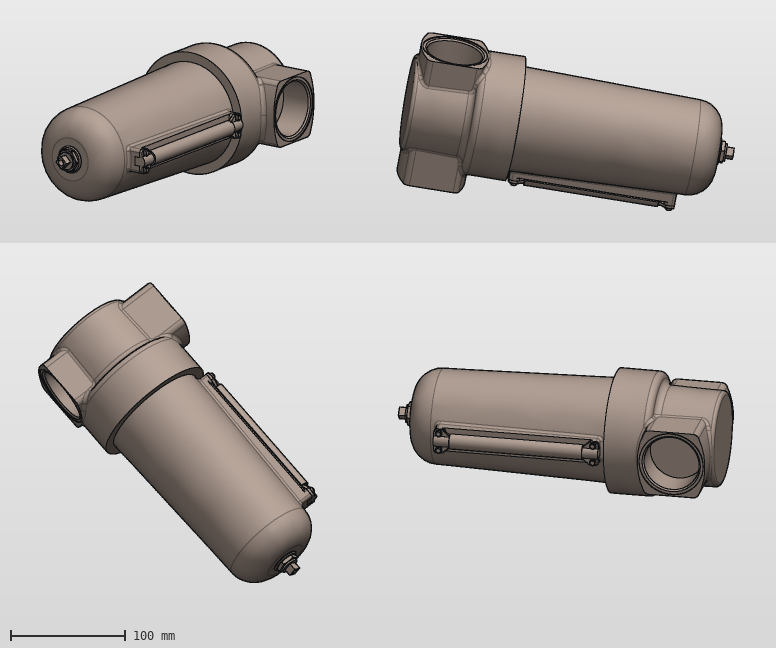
import cadquery as cq
import math


WIDTH_X = 120.8
COLLAR_DIAMETER = 109.8
COLLAR_RADIUS = COLLAR_DIAMETER / 2
COLLAR_SHOULDER_RADIUS = 54.8
COLLAR_HEIGHT = 34.3
NECK_RADIUS = 43.2
NECK_TOP_RADIUS = 42.0
NECK_EDGE_FILLET = 3.5
HEAD_HEIGHT = 95.0
SHOULDER_BLEND = 6.0

PORT_SIZE_Y = 60.3
PORT_SIZE_Z = 60.0
PORT_CORNER_HALF_Y = 23.0
PORT_CORNER_FILLET = 5.8
PORT_Y = 62.5
INLET_X = -COLLAR_RADIUS
OUTLET_X = WIDTH_X - COLLAR_RADIUS
PORT_BLEND = 3.5
PORT_SEAM_MIN_X = 14.5
BORE_RADIUS = 24.5
BORE_DEPTH = 28.8
BORE_CHAMFER = 1.5
RECESS_RADIUS = 28.5
RECESS_DEPTH = 1.0

BOWL_TOP_DIAMETER = 92.5
BOWL_LOW_RADIUS = 42.0
BOWL_FLOOR_RADIUS = 19.3
DOME_RADIUS = BOWL_LOW_RADIUS - BOWL_FLOOR_RADIUS
BOWL_STRAIGHT = 156.8
BOWL_LENGTH = BOWL_STRAIGHT + DOME_RADIUS

BRACKET_Y = -77.5
BRACKET_LENGTH = 146.5
BRACKET_WIDTH = 21.5
BRACKET_INNER_X = 28.8
BRACKET_ROOT_MIN_X = 40.5
BRACKET_ROOT_MAX_X = 47.5
BRACKET_LOW_X = 51.0
BRACKET_TOP_X = 54.0
BRACKET_LUG = 9.2
BRACKET_ROUND = 2.5
SLOT_FLOOR_X = 48.7
SLOT_WIDTH = 7.8

PLATE_THICKNESS = 2.5
PLATE_LUG = 7.8
PLATE_TAPER_END = 13.8
RIB_RADIUS = 5.5
LENS_RADIUS = 7.0
LENS_LENGTH = 118.2

SCREW_RADIUS = 3.0
SCREW_HEIGHT = 2.5
SCREW_CHAMFER = 1.0
SCREW_FROM_END = 4.5
SCREW_Z = 7.8

DRAIN_LENGTH = 13.5
FLANGE_RADIUS = 12.0
FLANGE_HEIGHT = 1.7
FLANGE_CHAMFER = 1.2
HEX_ACROSS_FLATS = 18.2
HEX_HEIGHT = 3.5
HEX_CHAMFER_RADIUS = 9.5
HEX_CHAMFER_ANGLE = 30
COLLET_RADIUS = 7.8
COLLET_HEIGHT = 1.7
STEM_DIAGONAL = 11.2
STEM_BORE_RADIUS = 2.5
STEM_BORE_DEPTH = 5.8


def cylinder_y(radius, y_start, length):
    """Cylinder on the part's axis, running from y_start toward -Y."""
    return cq.Workplane("XZ", origin=(0, y_start, 0)).circle(radius).extrude(length)


def spun(profile):
    """Turn a closed profile, drawn from the axis outward, about the Y axis."""
    return profile.close().revolve(360, (0, 0, 0), (0, 1, 0))


def bar_x(y_size, z_size, x_start, x_end):
    """Rectangular bar along X, centred on the bracket."""
    plane = cq.Workplane("YZ", origin=(x_start, BRACKET_Y, 0))
    return plane.rect(y_size, z_size).extrude(x_end - x_start)


def make_head_core():
    """Collar and neck, joined by an S-shaped shoulder."""
    half_step = (COLLAR_SHOULDER_RADIUS - NECK_RADIUS) / 2
    sweep = math.acos(1 - half_step / SHOULDER_BLEND)
    half_rise = SHOULDER_BLEND * math.sin(sweep)
    arc_step = SHOULDER_BLEND * (1 - math.cos(sweep / 2))
    arc_rise = SHOULDER_BLEND * math.sin(sweep / 2)
    mid_radius = NECK_RADIUS + half_step
    mid_y = COLLAR_HEIGHT + half_rise
    neck_start_y = mid_y + half_rise
    outer_arc_point = (COLLAR_SHOULDER_RADIUS - arc_step, COLLAR_HEIGHT + arc_rise)
    inner_arc_point = (NECK_RADIUS + arc_step, neck_start_y - arc_rise)
    profile = (
        cq.Workplane("XY")
        .lineTo(COLLAR_RADIUS, 0)
        .lineTo(COLLAR_SHOULDER_RADIUS, COLLAR_HEIGHT)
        .threePointArc(outer_arc_point, (mid_radius, mid_y))
        .threePointArc(inner_arc_point, (NECK_RADIUS, neck_start_y))
        .lineTo(NECK_TOP_RADIUS, HEAD_HEIGHT)
        .lineTo(0, HEAD_HEIGHT)
    )
    return spun(profile).faces(">Y").edges().fillet(NECK_EDGE_FILLET)


def make_port_block():
    """Block through the head with flat top and bottom and bowed sides."""
    y, z = PORT_CORNER_HALF_Y, PORT_SIZE_Z / 2
    bow_y = PORT_SIZE_Y / 2
    return (
        cq.Workplane("YZ", origin=(INLET_X, PORT_Y, 0))
        .moveTo(-y, z)
        .lineTo(y, z)
        .threePointArc((bow_y, 0), (y, -z))
        .lineTo(-y, -z)
        .threePointArc((-bow_y, 0), (-y, z))
        .close()
        .extrude(WIDTH_X)
        .edges("|X")
        .fillet(PORT_CORNER_FILLET)
    )


def make_port_bore(face_x, inward):
    """Blind bore with a shallow recess and a chamfer; inward is +1 or -1 along X."""
    chamfer_end = RECESS_DEPTH + BORE_CHAMFER
    profile = (
        cq.Workplane("XY", origin=(face_x, PORT_Y, 0))
        .lineTo(0, RECESS_RADIUS)
        .lineTo(inward * RECESS_DEPTH, RECESS_RADIUS)
        .lineTo(inward * RECESS_DEPTH, BORE_RADIUS + BORE_CHAMFER)
        .lineTo(inward * chamfer_end, BORE_RADIUS)
        .lineTo(inward * BORE_DEPTH, BORE_RADIUS)
        .lineTo(inward * BORE_DEPTH, 0)
        .close()
    )
    return profile.revolve(360, (0, 0, 0), (1, 0, 0))


def is_port_seam(edge):
    """True for the free-form curves where the port block runs into the collar and neck."""
    beside_core = PORT_SEAM_MIN_X < abs(edge.Center().x) < COLLAR_SHOULDER_RADIUS
    return beside_core and edge.geomType() not in ("LINE", "CIRCLE")


def make_head():
    core = make_head_core()
    block = make_port_block()
    seams = core.union(block).edges().filter(is_port_seam)
    head = seams.fillet(PORT_BLEND)
    for face_x, inward in ((INLET_X, 1), (OUTLET_X, -1)):
        head = head.cut(make_port_bore(face_x, inward))
    return head


def make_bowl_shell():
    """Tapered bowl with a domed end and a flat floor."""
    diagonal = DOME_RADIUS * math.sqrt(0.5)
    profile = (
        cq.Workplane("ZY")
        .lineTo(BOWL_TOP_DIAMETER / 2, 0)
        .lineTo(BOWL_LOW_RADIUS, -BOWL_STRAIGHT)
        .threePointArc(
            (BOWL_FLOOR_RADIUS + diagonal, -BOWL_STRAIGHT - diagonal),
            (BOWL_FLOOR_RADIUS, -BOWL_LENGTH),
        )
        .lineTo(0, -BOWL_LENGTH)
    )
    return spun(profile)


def make_bracket():
    """Base block plus a raised, rounded lug at each end."""
    base = bar_x(BRACKET_LENGTH, BRACKET_WIDTH, BRACKET_INNER_X, BRACKET_LOW_X)
    bracket = base.edges("|X").fillet(BRACKET_ROUND)
    lug_offset = (BRACKET_LENGTH - BRACKET_LUG) / 2
    for side in (-1, 1):
        lug = (
            cq.Workplane("YZ", origin=(BRACKET_LOW_X, BRACKET_Y + side * lug_offset, 0))
            .rect(BRACKET_LUG, BRACKET_WIDTH)
            .extrude(BRACKET_TOP_X - BRACKET_LOW_X)
            .edges("|X")
            .fillet(BRACKET_ROUND)
        )
        bracket = bracket.union(lug)
    return bracket


def is_bracket_root(edge):
    """True for the curves where the bracket meets the tapered wall of the bowl."""
    center = edge.Center()
    on_wall = BRACKET_ROOT_MIN_X < center.x < BRACKET_ROOT_MAX_X
    return on_wall and edge.geomType() != "LINE"


def make_bowl():
    joined = make_bowl_shell().union(make_bracket())
    bowl = joined.edges().filter(is_bracket_root).fillet(BRACKET_ROUND)
    slot = bar_x(BRACKET_LENGTH, SLOT_WIDTH, SLOT_FLOOR_X, BRACKET_TOP_X)
    return bowl.cut(slot)


def make_half_round(radius, length):
    """Half cylinder along Y that bulges toward +X from the bracket's top."""
    return (
        cq.Workplane("XZ", origin=(BRACKET_TOP_X, BRACKET_Y + length / 2, 0))
        .moveTo(0, -radius)
        .threePointArc((radius, 0), (0, radius))
        .close()
        .extrude(length)
    )


def make_plate():
    """Mounting plate, wide at both ends and tapering to the rib between them."""
    end = BRACKET_LENGTH / 2
    wide = BRACKET_WIDTH / 2
    lug_y = end - PLATE_LUG
    taper_y = end - PLATE_TAPER_END
    one_end = [(end, wide), (lug_y, wide), (taper_y, RIB_RADIUS)]
    upper = one_end + [(-y, z) for y, z in reversed(one_end)]
    lower = [(y, -z) for y, z in reversed(upper)]
    plate = (
        cq.Workplane("YZ", origin=(BRACKET_TOP_X, BRACKET_Y, 0))
        .polyline(upper + lower)
        .close()
        .extrude(PLATE_THICKNESS)
    )
    return plate.edges("|X and (>Y or <Y)").fillet(BRACKET_ROUND)


def make_sight_glass():
    key = bar_x(BRACKET_LENGTH, SLOT_WIDTH, SLOT_FLOOR_X, BRACKET_TOP_X)
    glass = key.union(make_plate())
    glass = glass.union(make_half_round(RIB_RADIUS, BRACKET_LENGTH))
    return glass.union(make_half_round(LENS_RADIUS, LENS_LENGTH))


def make_screw(y, z):
    """Round screw head seated on the plate."""
    return (
        cq.Workplane("YZ", origin=(BRACKET_TOP_X + PLATE_THICKNESS, y, z))
        .circle(SCREW_RADIUS)
        .extrude(SCREW_HEIGHT)
        .faces(">X")
        .edges()
        .chamfer(SCREW_CHAMFER)
    )


def make_hex(y_start):
    """Hexagon with a corner on +X and its corners chamfered at both ends."""
    corner_radius = HEX_ACROSS_FLATS / math.sqrt(3)
    rise = (corner_radius - HEX_CHAMFER_RADIUS) * math.tan(math.radians(HEX_CHAMFER_ANGLE))
    hexagon = (
        cq.Workplane("XZ", origin=(0, y_start, 0))
        .polygon(6, 2 * corner_radius)
        .extrude(HEX_HEIGHT)
    )
    envelope = (
        cq.Workplane("XY", origin=(0, y_start, 0))
        .lineTo(HEX_CHAMFER_RADIUS, 0)
        .lineTo(corner_radius, -rise)
        .lineTo(corner_radius, rise - HEX_HEIGHT)
        .lineTo(HEX_CHAMFER_RADIUS, -HEX_HEIGHT)
        .lineTo(0, -HEX_HEIGHT)
    )
    return hexagon.intersect(spun(envelope))


def make_drain():
    """Flange, hexagon, collet and hollow square stem in a row."""
    hex_y = -BOWL_LENGTH - FLANGE_HEIGHT
    collet_y = hex_y - HEX_HEIGHT
    stem_y = collet_y - COLLET_HEIGHT
    tip_y = -BOWL_LENGTH - DRAIN_LENGTH
    flange = cylinder_y(FLANGE_RADIUS, -BOWL_LENGTH, FLANGE_HEIGHT)
    flange = flange.faces("<Y").edges().chamfer(FLANGE_CHAMFER)
    collet = cylinder_y(COLLET_RADIUS, collet_y, COLLET_HEIGHT)
    stem = cq.Workplane("XZ", origin=(0, stem_y, 0)).polygon(4, STEM_DIAGONAL).extrude(stem_y - tip_y)
    bore = cylinder_y(STEM_BORE_RADIUS, tip_y + STEM_BORE_DEPTH, STEM_BORE_DEPTH)
    return flange.union(make_hex(hex_y)).union(collet).union(stem).cut(bore)


head = make_head()
bowl = make_bowl()
sight_glass = make_sight_glass()
drain = make_drain()

screw_reach = BRACKET_LENGTH / 2 - SCREW_FROM_END
screws = [
    make_screw(BRACKET_Y + y_side * screw_reach, z_side * SCREW_Z)
    for y_side in (-1, 1)
    for z_side in (-1, 1)
]

bodies = [head, bowl, sight_glass, drain, *screws]
result = cq.Compound.makeCompound([body.val() for body in bodies])